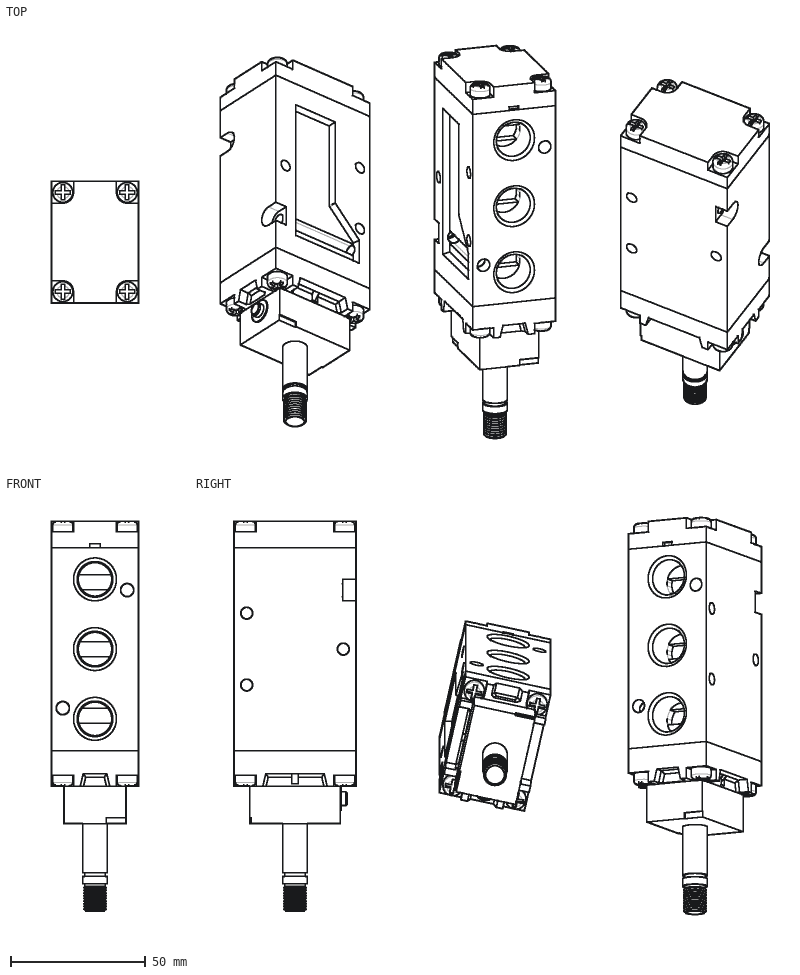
import cadquery as cq
import math


WIDTH = 32.5
DEPTH = 45.5
BODY_HEIGHT = 75.7

PORT_PITCH = 26.0
PORT_MOUTH_RADIUS = 8.0
PORT_MOUTH_DEPTH = 1.0
PORT_BORE_RADIUS = 6.65
PORT_FLOOR_RADIUS = 6.25
PORT_BORE_DEPTH = 12.0
PORT_SLOT_WIDTH = 12.4
PORT_SLOT_HEIGHT = 5.6
PORT_SLOT_DEPTH = 4.0
PORT_SLOT_SHIFT = 1.1

FRONT_HOLE_DIAMETER = 4.8
FRONT_HOLE_X = 12.0
FRONT_HOLE_Z = 22.0
NUT_SLOT_WIDTH = 8.0
NUT_SLOT_DEPTH = 5.0

SIDE_HOLE_DIAMETER = 4.3
SIDE_HOLE_Y = 18.0
SIDE_HOLE_Z = 13.4

POCKET_HALF_HEIGHT = 28.7
POCKET_BACK_Y = 13.0
POCKET_STEP_Y = -6.0
POCKET_FRONT_Y = -17.7
POCKET_SLOPE_TOP_Z = -6.9
POCKET_DEPTH = 2.5
POCKET_WALL_RUN = 0.9
CHANNEL_WIDTH = 5.0

TOP_CAP_HEIGHT = 9.9
BOTTOM_CAP_HEIGHT = 13.2
SCREW_X = 12.0
SCREW_Y = 18.5
SCREW_POCKET_RADIUS = 4.0
SCREW_HEAD_RADIUS = 3.7
SCREW_HEAD_HEIGHT = 4.0
SCREW_HEAD_ROUND = 1.4
CROSS_LENGTH = 5.6
CROSS_WIDTH = 1.3
CROSS_DEPTH = 2.0

TAB_NOTCH_WIDTH = 3.8
TAB_NOTCH_HEIGHT = 1.4
TAB_NOTCH_DEPTH = 1.5

EDGE_NOTCH_HEIGHT = 4.5
EDGE_NOTCH_FLARE = 1.1
EDGE_NOTCH_X_HALF = 4.4
EDGE_NOTCH_Y_HALF = 10.9
EDGE_NOTCH_STRAIGHT = 3.7
EDGE_NOTCH_BEVEL = 0.9
EDGE_NOTCH_BEVEL_RUN = 1.2
RAMP_WIDTH = 2.6
RAMP_HEIGHT = 3.7
RAMP_RUN = 4.0

PILOT_WIDTH = 23.2
PILOT_DEPTH = 33.8
PILOT_HEIGHT = 14.0
CORNER_STEP_HEIGHT = 2.2
CORNER_STEP_X_LENGTH = 7.4
CORNER_STEP_Y_LENGTH = 7.9
CORNER_STEP_DEPTH = 0.5
BUTTON_DROP = 4.7
BUTTON_PLATE_RADIUS = 4.4
BUTTON_PLATE_THICKNESS = 0.4
BUTTON_RADIUS = 2.6
BUTTON_PROJECTION = 2.5
BUTTON_ROUND = 0.5

STEM_RADIUS = 4.6
STEM_NECK_RADIUS = 3.9
STEM_LENGTH = 18.4
STEM_GROOVE = 1.3
STEM_COLLAR = 2.8
STEM_NECK = 0.9
THREAD_CREST_RADIUS = 4.2
THREAD_ROOT_RADIUS = 3.5
THREAD_PITCH = 1.0
THREAD_TURNS = 9

TOTAL_HEIGHT = 145.4
BODY_TOP = BODY_HEIGHT / 2
BODY_FOOT = -BODY_HEIGHT / 2
CAP_TOP = BODY_TOP + TOP_CAP_HEIGHT
CAP_FOOT = BODY_FOOT - BOTTOM_CAP_HEIGHT
PILOT_FOOT = CAP_FOOT - PILOT_HEIGHT
STEM_TIP = CAP_TOP - TOTAL_HEIGHT
FRONT = -DEPTH / 2
BACK = DEPTH / 2
LEFT = -WIDTH / 2


def box(x0, x1, y0, y1, z0, z1):
    """A box between two opposite corners."""
    return cq.Workplane("XY").box(x1 - x0, y1 - y0, z1 - z0, centered=False).translate((x0, y0, z0))


def cylinder_along_y(radius, x, z, y0, y1):
    plane = cq.Plane(origin=(x, y0, z), xDir=(1, 0, 0), normal=(0, 1, 0))
    return cq.Workplane(plane).circle(radius).extrude(y1 - y0)


def port(z, slot_z):
    """A port from the front face: chamfered mouth, tapered bore and a slot in the bore floor."""
    profile = [
        (0, 0),
        (PORT_MOUTH_RADIUS, 0),
        (PORT_BORE_RADIUS, PORT_MOUTH_DEPTH),
        (PORT_FLOOR_RADIUS, PORT_BORE_DEPTH),
        (0, PORT_BORE_DEPTH),
    ]
    bore = cq.Workplane("XY").polyline(profile).close().revolve(360, (0, 0, 0), (0, 1, 0))
    bore = bore.translate((0, FRONT, z))
    slot_start = FRONT + PORT_BORE_DEPTH
    slot = box(
        -PORT_SLOT_WIDTH / 2, PORT_SLOT_WIDTH / 2, slot_start, slot_start + PORT_SLOT_DEPTH,
        slot_z - PORT_SLOT_HEIGHT / 2, slot_z + PORT_SLOT_HEIGHT / 2,
    )
    envelope = cylinder_along_y(PORT_FLOOR_RADIUS, 0, z, slot_start, slot_start + PORT_SLOT_DEPTH)
    return bore.union(slot.intersect(envelope))


def nut_slot(side):
    """A round-ended slot behind a front hole, open to the back and to the nearest X face."""
    hole_x = side * FRONT_HOLE_X
    hole_z = side * FRONT_HOLE_Z
    half = NUT_SLOT_WIDTH / 2
    outer_x = side * WIDTH / 2
    start = BACK - NUT_SLOT_DEPTH
    round_end = cylinder_along_y(half, hole_x, hole_z, start, BACK)
    straight = box(min(hole_x, outer_x), max(hole_x, outer_x), start, BACK, hole_z - half, hole_z + half)
    return round_end.union(straight)


def label_pocket():
    """The drafted pocket in the -X face, with a channel that opens a front hole into it."""
    draft = math.degrees(math.atan2(POCKET_WALL_RUN, POCKET_DEPTH))
    slope_foot_z = POCKET_SLOPE_TOP_Z - (POCKET_STEP_Y - POCKET_FRONT_Y)
    outline = [
        (POCKET_BACK_Y, POCKET_HALF_HEIGHT),
        (POCKET_STEP_Y, POCKET_HALF_HEIGHT),
        (POCKET_STEP_Y, POCKET_SLOPE_TOP_Z),
        (POCKET_FRONT_Y, slope_foot_z),
        (POCKET_FRONT_Y, -POCKET_HALF_HEIGHT),
        (POCKET_BACK_Y, -POCKET_HALF_HEIGHT),
    ]
    pocket = (
        cq.Workplane("YZ").workplane(offset=LEFT).polyline(outline).close().extrude(POCKET_DEPTH, taper=draft)
    )
    radius = CHANNEL_WIDTH / 2
    channel_front = POCKET_FRONT_Y + POCKET_WALL_RUN
    channel_back = POCKET_BACK_Y - POCKET_WALL_RUN
    channel = box(
        LEFT + POCKET_DEPTH, -FRONT_HOLE_X, channel_front, channel_back,
        -FRONT_HOLE_Z - radius, -FRONT_HOLE_Z + radius,
    )
    channel_bed = cylinder_along_y(radius, -FRONT_HOLE_X, -FRONT_HOLE_Z, channel_front, channel_back)
    return pocket.union(channel).union(channel_bed)


def make_body():
    body = box(LEFT, -LEFT, FRONT, BACK, BODY_FOOT, BODY_TOP)
    for step in (-1, 0, 1):
        port_z = step * PORT_PITCH
        body = body.cut(port(port_z, port_z - step * PORT_SLOT_SHIFT))
    for side in (-1, 1):
        hole_x = side * FRONT_HOLE_X
        hole_z = side * FRONT_HOLE_Z
        hole = cylinder_along_y(FRONT_HOLE_DIAMETER / 2, hole_x, hole_z, FRONT, BACK)
        body = body.cut(hole).cut(nut_slot(side))
    side_holes = (
        cq.Workplane("YZ").workplane(offset=LEFT)
        .pushPoints([(-SIDE_HOLE_Y, SIDE_HOLE_Z), (-SIDE_HOLE_Y, -SIDE_HOLE_Z), (SIDE_HOLE_Y, 0)])
        .circle(SIDE_HOLE_DIAMETER / 2).extrude(WIDTH)
    )
    return body.cut(side_holes).cut(label_pocket())


def corner_pocket():
    """Recess for the screw head at the +X +Y corner, reaching up from z = 0, rounded inside."""
    inner_x = SCREW_X - SCREW_POCKET_RADIUS
    inner_y = SCREW_Y - SCREW_POCKET_RADIUS
    recess = box(inner_x, WIDTH / 2, inner_y, BACK, 0, SCREW_HEAD_HEIGHT)
    return recess.edges("|Z and <X and <Y").fillet(SCREW_POCKET_RADIUS)


def screw_head():
    """A rounded head with a cross recess, standing on z = 0 at the +X +Y screw place."""
    head = cq.Workplane("XY").circle(SCREW_HEAD_RADIUS).extrude(SCREW_HEAD_HEIGHT)
    head = head.faces(">Z").edges().fillet(SCREW_HEAD_ROUND)
    cross_floor = SCREW_HEAD_HEIGHT - CROSS_DEPTH
    for length, width in ((CROSS_LENGTH, CROSS_WIDTH), (CROSS_WIDTH, CROSS_LENGTH)):
        head = head.cut(
            box(-length / 2, length / 2, -width / 2, width / 2, cross_floor, SCREW_HEAD_HEIGHT)
        )
    return head.translate((SCREW_X, SCREW_Y, 0))


def at_four_corners(shape):
    """Mirrored copies of a +X +Y corner shape, one at each corner."""
    row = [shape, shape.mirror("YZ")]
    return row + [part.mirror("XZ") for part in row]


def screwed_block(height):
    """A cap block from z = 0 up, with a screw head sunk in each top corner."""
    block = box(LEFT, -LEFT, FRONT, BACK, 0, height)
    lift = (0, 0, height - SCREW_HEAD_HEIGHT)
    for recess in at_four_corners(corner_pocket().translate(lift)):
        block = block.cut(recess)
    for head in at_four_corners(screw_head().translate(lift)):
        block = block.union(head)
    return block


def make_top_cap():
    cap = screwed_block(TOP_CAP_HEIGHT)
    half = TAB_NOTCH_WIDTH / 2
    cap = cap.cut(box(-half, half, FRONT, FRONT + TAB_NOTCH_DEPTH, 0, TAB_NOTCH_HEIGHT))
    return cap.translate((0, 0, BODY_TOP))


def edge_notch(half_width, face_distance, inward):
    """A trapezoid notch, bevelled at its inner end, cut along the horizontal direction `inward`."""
    below = 2 * EDGE_NOTCH_BEVEL_RUN
    flare = EDGE_NOTCH_FLARE * (1 + below / EDGE_NOTCH_HEIGHT)
    outline = [
        (-half_width, EDGE_NOTCH_HEIGHT),
        (half_width, EDGE_NOTCH_HEIGHT),
        (half_width + flare, -below),
        (-half_width - flare, -below),
    ]
    bevel_angle = math.degrees(math.atan2(EDGE_NOTCH_BEVEL_RUN, EDGE_NOTCH_BEVEL))
    inward_x, inward_y = inward
    plane = cq.Plane(
        origin=(-inward_x * face_distance, -inward_y * face_distance, CAP_FOOT),
        xDir=(-inward_y, inward_x, 0),
        normal=(inward_x, inward_y, 0),
    )
    face = cq.Workplane(plane)
    straight = face.polyline(outline).close().extrude(EDGE_NOTCH_STRAIGHT)
    bevel = (
        face.workplane(offset=EDGE_NOTCH_STRAIGHT).polyline(outline).close()
        .extrude(EDGE_NOTCH_BEVEL, taper=bevel_angle)
    )
    return straight.union(bevel)


def notch_ramp():
    """A ramp sinking further into the cap from the inner end of the -X notch."""
    start_x = LEFT + EDGE_NOTCH_STRAIGHT
    top_z = CAP_FOOT + EDGE_NOTCH_HEIGHT
    foot_z = top_z - RAMP_HEIGHT
    outline = [(start_x, top_z), (start_x + RAMP_RUN, foot_z), (start_x, foot_z)]
    return cq.Workplane("XZ").polyline(outline).close().extrude(RAMP_WIDTH / 2, both=True)


def make_bottom_cap():
    cap = screwed_block(BOTTOM_CAP_HEIGHT).mirror("XY").translate((0, 0, BODY_FOOT))
    ramp = notch_ramp()
    for side in (-1, 1):
        cap = cap.cut(edge_notch(EDGE_NOTCH_X_HALF, DEPTH / 2, (0, side)))
        cap = cap.cut(edge_notch(EDGE_NOTCH_Y_HALF, WIDTH / 2, (side, 0)))
    return cap.cut(ramp).cut(ramp.mirror("YZ"))


def pilot_block():
    half_x = PILOT_WIDTH / 2
    half_y = PILOT_DEPTH / 2
    block = box(-half_x, half_x, -half_y, half_y, PILOT_FOOT, CAP_FOOT)
    step_top = PILOT_FOOT + CORNER_STEP_HEIGHT
    front_step = box(
        half_x - CORNER_STEP_X_LENGTH, half_x, -half_y, -half_y + CORNER_STEP_DEPTH, PILOT_FOOT, step_top
    )
    side_step = box(
        -half_x, -half_x + CORNER_STEP_DEPTH, half_y - CORNER_STEP_Y_LENGTH, half_y, PILOT_FOOT, step_top
    )
    return block.cut(front_step).cut(side_step)


def manual_button():
    """The override button on its round plate, on the back of the pilot."""
    base_y = PILOT_DEPTH / 2
    button_z = CAP_FOOT - BUTTON_DROP
    plate = cylinder_along_y(BUTTON_PLATE_RADIUS, 0, button_z, base_y, base_y + BUTTON_PLATE_THICKNESS)
    button = cylinder_along_y(BUTTON_RADIUS, 0, button_z, base_y, base_y + BUTTON_PROJECTION)
    return plate.union(button.faces(">Y").edges().chamfer(BUTTON_ROUND))


def stem():
    """The turned solenoid stem: plain shaft, groove, collar, neck and ridged thread."""
    shaft_z = PILOT_FOOT - STEM_LENGTH
    collar_z = shaft_z - STEM_GROOVE
    neck_z = collar_z - STEM_COLLAR
    thread_z = neck_z - STEM_NECK
    profile = [
        (0, PILOT_FOOT),
        (STEM_RADIUS, PILOT_FOOT),
        (STEM_RADIUS, shaft_z),
        (STEM_NECK_RADIUS, shaft_z),
        (STEM_NECK_RADIUS, collar_z),
        (STEM_RADIUS, collar_z),
        (STEM_RADIUS, neck_z),
        (STEM_NECK_RADIUS, neck_z),
        (STEM_NECK_RADIUS, thread_z),
        (THREAD_ROOT_RADIUS, thread_z),
    ]
    for turn in range(THREAD_TURNS):
        ridge_top = thread_z - turn * THREAD_PITCH
        profile.append((THREAD_CREST_RADIUS, ridge_top - THREAD_PITCH / 2))
        profile.append((THREAD_ROOT_RADIUS, ridge_top - THREAD_PITCH))
    profile += [(THREAD_ROOT_RADIUS, STEM_TIP), (0, STEM_TIP)]
    return cq.Workplane("XZ").polyline(profile).close().revolve(360, (0, 0, 0), (0, 1, 0))


def make_pilot():
    return pilot_block().union(manual_button()).union(stem())


body = make_body()
top_cap = make_top_cap()
bottom_cap = make_bottom_cap()
pilot = make_pilot()

result = cq.Compound.makeCompound([body.val(), top_cap.val(), bottom_cap.val(), pilot.val()])